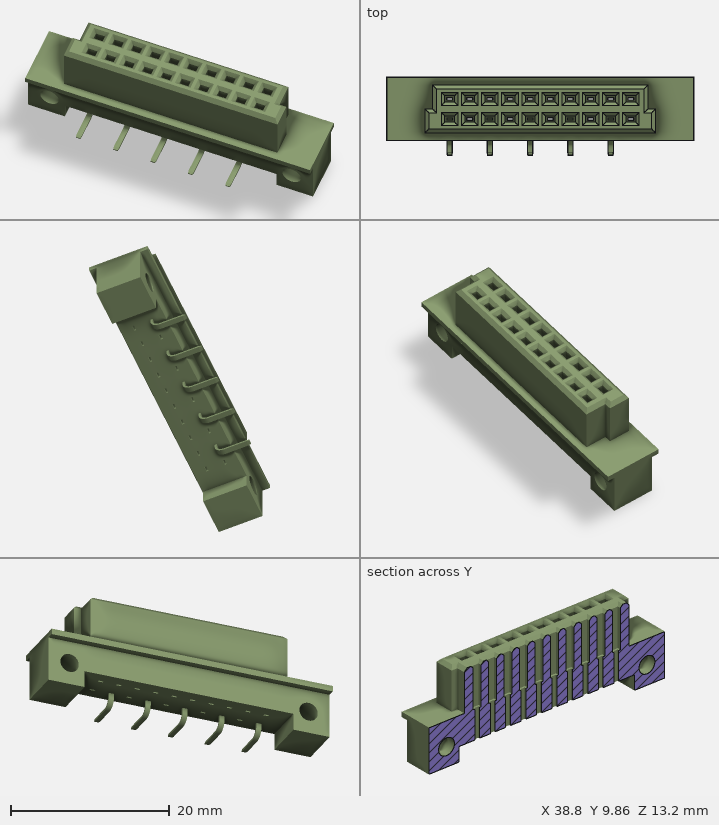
import cadquery as cq
import math


BODY_LENGTH = 38.75
BODY_DEPTH = 6.0
NOTCH_LENGTH = 28.8
NOTCH_HEIGHT = 2.25
MOUNT_HOLE_DIAMETER = 2.52
MOUNT_HOLE_SPACING = 32.95
MOUNT_HOLE_HEIGHT = 3.0

FLANGE_DEPTH = 8.02
FLANGE_BOTTOM = 6.0
FLANGE_TOP = 6.8

TOTAL_HEIGHT = 13.2
SHROUD_FRONT_LENGTH = 29.07
SHROUD_BACK_LENGTH = 27.17
SHROUD_CHAMFER = 0.5

COLUMNS = 10
ROW_LENGTH = 22.85
PITCH = ROW_LENGTH / (COLUMNS - 1)
FUNNEL_LENGTH = 2.1
FUNNEL_DEPTH = 1.65
FUNNEL_INSET = 0.43
POCKET_FLOOR = FLANGE_TOP

CONTACT_WIDTH = 0.7
CONTACT_THICKNESS = 0.27
CONTACT_BOTTOM = 0.35
CONTACT_REACH = 2.85
BEND_INNER_RADIUS = 1.05
TIP_CHAMFER_LENGTH = 0.4
TIP_CHAMFER_WIDTH = 0.06

COS_45 = math.cos(math.radians(45))
BODY_FRONT = -BODY_DEPTH / 2
FRONT_ROW_Y = -PITCH / 2
COLUMN_XS = [i * PITCH - ROW_LENGTH / 2 for i in range(COLUMNS)]
CONTACT_XS = COLUMN_XS[::2]
SOCKET_CENTERS = [(x, y) for y in (FRONT_ROW_Y, -FRONT_ROW_Y) for x in COLUMN_XS]


def block(length, depth, bottom, top):
    """Box centred on X = 0 and Y = 0, between two heights."""
    return cq.Workplane(origin=(0, 0, bottom)).rect(length, depth).extrude(top - bottom)


def make_base():
    """Mounting body with its overhanging flange."""
    body = block(BODY_LENGTH, BODY_DEPTH, 0, FLANGE_BOTTOM)
    notch = block(NOTCH_LENGTH, BODY_DEPTH, 0, NOTCH_HEIGHT)
    mount_holes = (
        cq.Workplane("XZ", origin=(0, 0, MOUNT_HOLE_HEIGHT))
        .pushPoints([(-MOUNT_HOLE_SPACING / 2, 0), (MOUNT_HOLE_SPACING / 2, 0)])
        .circle(MOUNT_HOLE_DIAMETER / 2)
        .extrude(BODY_DEPTH / 2, both=True)
    )
    flange = block(BODY_LENGTH, FLANGE_DEPTH, FLANGE_BOTTOM, FLANGE_TOP)
    return body.cut(notch).cut(mount_holes).union(flange)


def make_shroud():
    """T-shaped tower with a chamfered rim."""
    front_half = SHROUD_FRONT_LENGTH / 2
    back_half = SHROUD_BACK_LENGTH / 2
    half_depth = BODY_DEPTH / 2
    outline = [
        (-front_half, -half_depth),
        (front_half, -half_depth),
        (front_half, 0),
        (back_half, 0),
        (back_half, half_depth),
        (-back_half, half_depth),
        (-back_half, 0),
        (-front_half, 0),
    ]
    base_plane = cq.Workplane(origin=(0, 0, FLANGE_TOP))
    tower = base_plane.polyline(outline).close().extrude(TOTAL_HEIGHT - FLANGE_TOP)
    return tower.faces(">Z").chamfer(SHROUD_CHAMFER)


def make_socket_cutter():
    """Lead-in funnel, straight pocket and through slot of one socket."""
    pocket_length = FUNNEL_LENGTH - 2 * FUNNEL_INSET
    pocket_depth = FUNNEL_DEPTH - 2 * FUNNEL_INSET
    funnel = (
        cq.Workplane(origin=(0, 0, TOTAL_HEIGHT))
        .rect(FUNNEL_LENGTH, FUNNEL_DEPTH)
        .workplane(offset=-FUNNEL_INSET)
        .rect(pocket_length, pocket_depth)
        .loft(ruled=True)
    )
    pocket = block(pocket_length, pocket_depth, POCKET_FLOOR, TOTAL_HEIGHT - FUNNEL_INSET)
    slot = block(CONTACT_WIDTH, CONTACT_THICKNESS, NOTCH_HEIGHT, POCKET_FLOOR)
    return funnel.union(pocket).union(slot)


def make_housing():
    housing = make_base().union(make_shroud())
    cutter = make_socket_cutter().val()
    cutters = [cutter.translate(cq.Vector(x, y, 0)) for x, y in SOCKET_CENTERS]
    return cq.Workplane(housing.val().cut(*cutters))


def make_contact(x):
    """Strip that fills its slot, bends forward and ends in a tapered tip."""
    back = FRONT_ROW_Y + CONTACT_THICKNESS / 2
    front = back - CONTACT_THICKNESS
    leg_top = CONTACT_BOTTOM + CONTACT_THICKNESS
    leg_end = BODY_FRONT - CONTACT_REACH + TIP_CHAMFER_LENGTH
    bend_y = front - BEND_INNER_RADIUS
    bend_z = leg_top + BEND_INNER_RADIUS
    outer_radius = BEND_INNER_RADIUS + CONTACT_THICKNESS
    inner_arc_middle = (bend_y + BEND_INNER_RADIUS * COS_45, bend_z - BEND_INNER_RADIUS * COS_45)
    outer_arc_middle = (bend_y + outer_radius * COS_45, bend_z - outer_radius * COS_45)
    strip = (
        cq.Workplane("YZ")
        .moveTo(back, POCKET_FLOOR)
        .lineTo(front, POCKET_FLOOR)
        .lineTo(front, bend_z)
        .threePointArc(inner_arc_middle, (bend_y, leg_top))
        .lineTo(leg_end, leg_top)
        .lineTo(leg_end, CONTACT_BOTTOM)
        .lineTo(bend_y, CONTACT_BOTTOM)
        .threePointArc(outer_arc_middle, (back, bend_z))
        .close()
        .extrude(CONTACT_WIDTH / 2, both=True)
    )
    tip_middle = (0, leg_end, CONTACT_BOTTOM + CONTACT_THICKNESS / 2)
    tip = (
        cq.Workplane("XZ", origin=tip_middle)
        .rect(CONTACT_WIDTH, CONTACT_THICKNESS)
        .workplane(offset=TIP_CHAMFER_LENGTH)
        .rect(CONTACT_WIDTH - 2 * TIP_CHAMFER_WIDTH, CONTACT_THICKNESS - 2 * TIP_CHAMFER_WIDTH)
        .loft(ruled=True)
    )
    return strip.union(tip).translate((x, 0, 0))


housing = make_housing()
contacts = [make_contact(x) for x in CONTACT_XS]

result = cq.Compound.makeCompound([housing.val(), *[contact.val() for contact in contacts]])